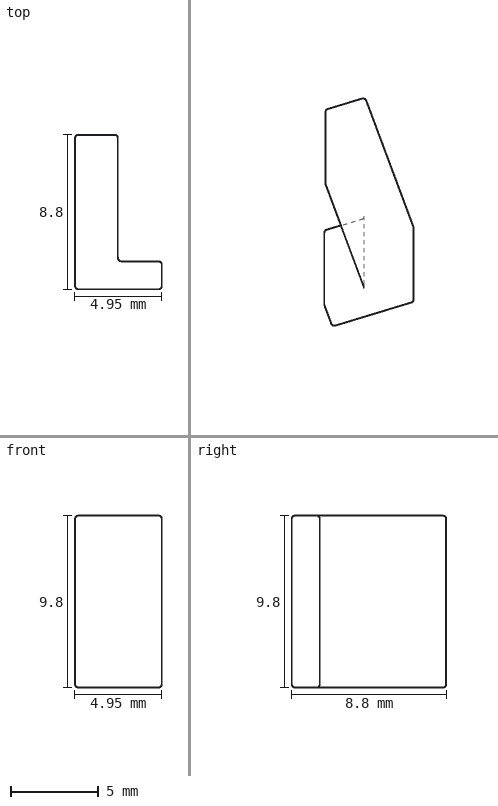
import cadquery as cq

width = 4.95
depth = 8.8
height = 9.8

long_leg_thickness = 2.45
short_leg_thickness = 1.6

edge_radius = 0.2


def l_block():
    """L-shaped prism standing on XY, with the outer corner of the L at the origin."""
    return (
        cq.Workplane("XY")
        .moveTo(0, 0)
        .lineTo(width, 0)
        .lineTo(width, short_leg_thickness)
        .lineTo(long_leg_thickness, short_leg_thickness)
        .lineTo(long_leg_thickness, depth)
        .lineTo(0, depth)
        .close()
        .extrude(height)
    )


def round_all_edges(body):
    """Fillet the outlines of both ends and the vertical edges, blending the corners."""
    return body.edges().fillet(edge_radius)


result = round_all_edges(l_block())